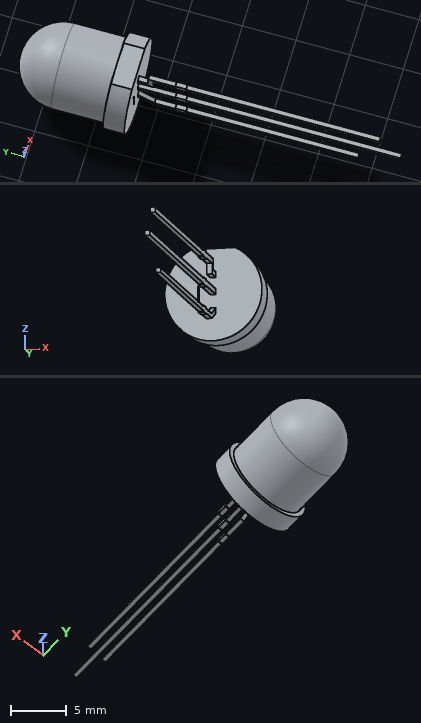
import cadquery as cq
import math

total_length = 35.5
body_diameter = 8.0
body_radius = body_diameter / 2
body_length = 5.0
flange_diameter = 8.98
flange_radius = flange_diameter / 2
flange_length = 2.0
flat_height = body_radius

lead_width = 0.5
lead_pitch = 2.55
lower_lead_thickness = 0.43
lead_end_step = 2.0
jog_depth = 0.95
upper_exit_height = 1.55
lower_exit_height = -1.7
bend_depth = 1.53

collar_start = 3.5
collar_length = 1.0
collar_step = 0.09

mark_x = -1.4
mark_z = -0.15
mark_width = 0.103
mark_height = 1.42
mark_depth = 0.1

dome_base = flange_length + body_length
dome_tip = dome_base + body_radius
lead_half = lead_width / 2
middle_end = dome_tip - total_length
upper_end = middle_end + lead_end_step
lower_end = upper_end + lead_end_step


def make_lens():
    """Flange, cylindrical body and hemispherical dome turned about Y."""
    dome_mid = body_radius * math.sqrt(0.5)
    lens = (
        cq.Workplane("YZ")
        .lineTo(0, flange_radius)
        .lineTo(flange_length, flange_radius)
        .lineTo(flange_length, body_radius)
        .lineTo(dome_base, body_radius)
        .threePointArc((dome_base + dome_mid, dome_mid), (dome_tip, 0))
        .close()
        .revolve(360, (0, 0, 0), (1, 0, 0))
    )
    above_flat = (
        cq.Workplane("XY", origin=(0, flange_length / 2, flat_height))
        .rect(flange_diameter, flange_length)
        .extrude(flange_radius)
    )
    return lens.cut(above_flat)


def make_mark():
    """Shallow upright slot in the flange face beside the leads."""
    return (
        cq.Workplane("XY")
        .box(mark_width, mark_depth, mark_height)
        .translate((mark_x, mark_depth / 2, mark_z))
    )


def extrude_outline(points):
    """Solid of lead width from an outline of (Y, Z) points."""
    return cq.Workplane("YZ").polyline(points).close().extrude(lead_half, both=True)


def make_collar(height, lead_thickness):
    """Thickened length of a lead whose centre is at the given height."""
    reach = lead_thickness / 2 + collar_step
    near = -collar_start
    far = near - collar_length
    return extrude_outline([
        (near, height - reach),
        (near, height + reach),
        (far, height + reach),
        (far, height - reach),
    ])


def make_upper_lead():
    """Lead that jogs up through a square riser."""
    riser_back = -jog_depth
    riser_front = riser_back - lead_width
    lead = extrude_outline([
        (0, upper_exit_height + lead_half),
        (riser_back, upper_exit_height + lead_half),
        (riser_back, lead_pitch + lead_half),
        (upper_end, lead_pitch + lead_half),
        (upper_end, lead_pitch - lead_half),
        (riser_front, lead_pitch - lead_half),
        (riser_front, upper_exit_height - lead_half),
        (0, upper_exit_height - lead_half),
    ])
    return lead.union(make_collar(lead_pitch, lead_width))


def make_middle_lead():
    """Longest lead, straight along the axis."""
    lead = extrude_outline([
        (0, -lead_half),
        (0, lead_half),
        (middle_end, lead_half),
        (middle_end, -lead_half),
    ])
    return lead.union(make_collar(0, lead_width))


def make_lower_lead():
    """Thinner, shortest lead that slopes down from the flange to a mitred bend."""
    slope_angle = math.atan2(lower_exit_height + lead_pitch, bend_depth)
    half = lower_lead_thickness / 2
    exit_half = half / math.cos(slope_angle)
    mitre_shift = half * math.tan(slope_angle / 2)
    lead = extrude_outline([
        (0, lower_exit_height + exit_half),
        (-bend_depth - mitre_shift, -lead_pitch + half),
        (lower_end, -lead_pitch + half),
        (lower_end, -lead_pitch - half),
        (-bend_depth + mitre_shift, -lead_pitch - half),
        (0, lower_exit_height - exit_half),
    ])
    return lead.union(make_collar(-lead_pitch, lower_lead_thickness))


result = (
    make_lens()
    .cut(make_mark())
    .union(make_upper_lead())
    .union(make_middle_lead())
    .union(make_lower_lead())
)